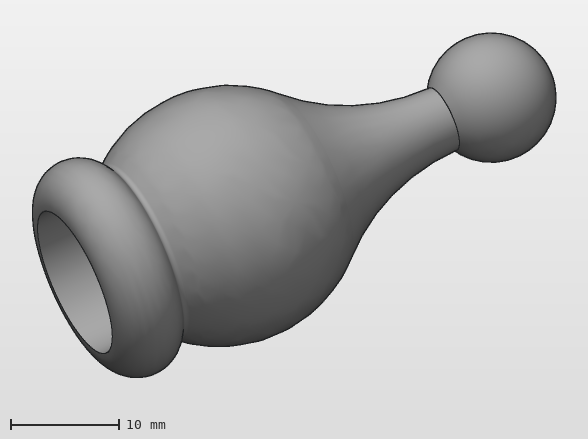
import cadquery as cq
import math

LENGTH = 49.95
BALL_RADIUS = 6.0
NECK_RADIUS = 3.15
NECK_CURVE_RADIUS = 21.15
BELLY_RADIUS = 12.0
BELLY_CURVE_RADIUS = 13.35
BORE_RADIUS = 14.3 / 2
BORE_DEPTH = 20.0
END_FACE_WIDTH = 0.1
RIM_TUBE_RADIUS = 3.5
GROOVE_RADIUS = 0.5


def point_towards(start, end, distance):
    """Point at a given distance from start on the line to end."""
    ratio = distance / math.dist(start, end)
    return (start[0] + ratio * (end[0] - start[0]), start[1] + ratio * (end[1] - start[1]))


def arc_middle(center, start, end):
    """Middle of the short arc about center from start to end."""
    chord_middle = ((start[0] + end[0]) / 2, (start[1] + end[1]) / 2)
    return point_towards(center, chord_middle, math.dist(center, start))


def outer_circle_crossing(center_a, radius_a, center_b, radius_b):
    """Crossing of two circles that lies to the right when going from b to a."""
    span = math.dist(center_a, center_b)
    along = (radius_a**2 - radius_b**2 + span**2) / (2 * span)
    across = math.sqrt(radius_a**2 - along**2)
    foot = point_towards(center_a, center_b, along)
    direction = ((center_b[0] - center_a[0]) / span, (center_b[1] - center_a[1]) / span)
    return (foot[0] - across * direction[1], foot[1] + across * direction[0])


ball_center = (0.0, LENGTH - BALL_RADIUS)
neck_top = (NECK_RADIUS, ball_center[1] - math.sqrt(BALL_RADIUS**2 - NECK_RADIUS**2))
neck_center = (NECK_RADIUS + NECK_CURVE_RADIUS, neck_top[1])

belly_offset = BELLY_RADIUS - BELLY_CURVE_RADIUS
center_distance = NECK_CURVE_RADIUS + BELLY_CURVE_RADIUS
center_drop = math.sqrt(center_distance**2 - (neck_center[0] - belly_offset) ** 2)
belly_center = (belly_offset, neck_center[1] - center_drop)

rim_center = (BORE_RADIUS + END_FACE_WIDTH, RIM_TUBE_RADIUS)

groove_center = outer_circle_crossing(
    belly_center,
    BELLY_CURVE_RADIUS + GROOVE_RADIUS,
    rim_center,
    RIM_TUBE_RADIUS + GROOVE_RADIUS,
)

rim_bottom = (rim_center[0], 0.0)
rim_widest = (rim_center[0] + RIM_TUBE_RADIUS, rim_center[1])
rim_top = point_towards(rim_center, groove_center, RIM_TUBE_RADIUS)
belly_bottom = point_towards(belly_center, groove_center, BELLY_CURVE_RADIUS)
belly_widest = (BELLY_RADIUS, belly_center[1])
belly_top = point_towards(belly_center, neck_center, BELLY_CURVE_RADIUS)
ball_widest = (BALL_RADIUS, ball_center[1])
ball_top = (0.0, LENGTH)

profile = (
    cq.Workplane("XY")
    .moveTo(0, BORE_DEPTH)
    .lineTo(BORE_RADIUS, BORE_DEPTH)
    .lineTo(BORE_RADIUS, 0)
    .lineTo(*rim_bottom)
    .threePointArc(rim_widest, rim_top)
    .threePointArc(arc_middle(groove_center, rim_top, belly_bottom), belly_bottom)
    .threePointArc(belly_widest, belly_top)
    .threePointArc(arc_middle(neck_center, belly_top, neck_top), neck_top)
    .threePointArc(ball_widest, ball_top)
    .close()
)

result = profile.revolve(360, (0, 0, 0), (0, 1, 0))